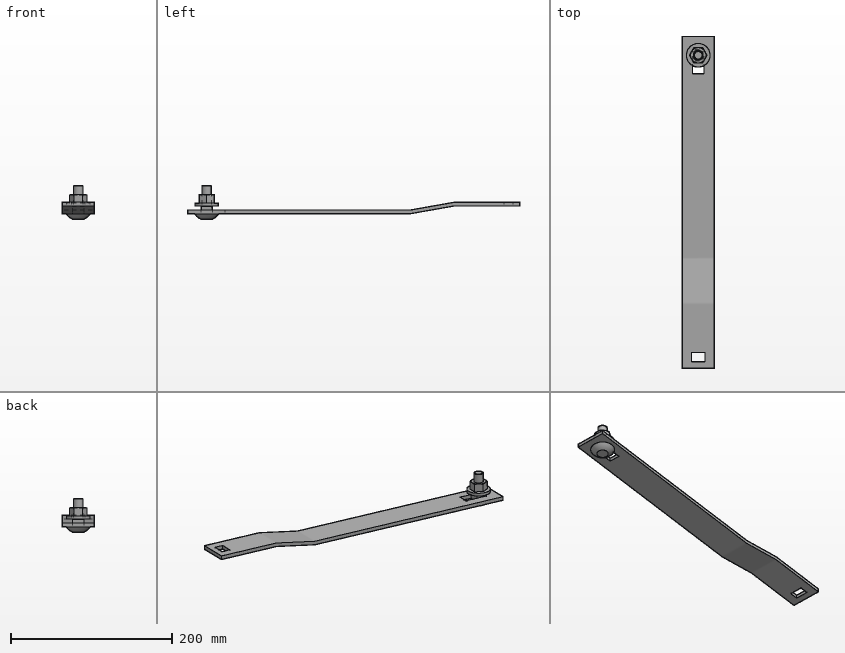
import cadquery as cq
import math

strap_length = 411.7
strap_width = 40.0
strap_thickness = 5.0
crank_rise = 10.0
crank_start = 275.5
crank_end = 331.5
bend_inner_radius = 10.0
bend_outer_radius = bend_inner_radius + strap_thickness

bolt_inset = 23.5
head_diameter = 29.5
head_flat_diameter = 14.0
head_height = 6.5
neck_width = 14.0
neck_top = 9.0
shank_diameter = 12.0
tip_chamfer_height = 0.5
tip_chamfer_width = 1.2
overall_height = 42.0
shank_top = overall_height - head_height

slot_far_edge = 46.0
slot_near_edge = bolt_inset - neck_width / 2
end_hole_width = 16.5
end_hole_length = 11.0
end_hole_inset = 14.0

washer_diameter = 29.2
washer_bottom = 10.0
washer_thickness = 3.5
nut_across_flats = 19.0
nut_height = 10.3
nut_chamfer_height = 0.6
nut_bottom = washer_bottom + washer_thickness

bolt_end_y = strap_length / 2
bolt_y = bolt_end_y - bolt_inset


def rectangular_cutter(width, length, centre_y):
    """Block for a rectangular opening right through the strap."""
    return cq.Workplane("XY").box(
        width, length, strap_thickness + crank_rise, centered=(True, True, False)
    ).translate((0, centre_y, 0))


def make_strap():
    """Bent flat bar with a slot for the bolt neck and a hole at the raised end."""
    crank_angle = math.atan2(crank_rise, crank_end - crank_start)
    bisector_shift = strap_thickness * math.tan(crank_angle / 2)
    upper_start_y = bolt_end_y - crank_start
    upper_end_y = bolt_end_y - crank_end
    raised_top = strap_thickness + crank_rise
    outline = [
        (bolt_end_y, 0),
        (bolt_end_y, strap_thickness),
        (upper_start_y, strap_thickness),
        (upper_end_y, raised_top),
        (-bolt_end_y, raised_top),
        (-bolt_end_y, crank_rise),
        (upper_end_y + bisector_shift, crank_rise),
        (upper_start_y + bisector_shift, 0),
    ]
    strap = cq.Workplane("YZ").polyline(outline).close().extrude(strap_width / 2, both=True)

    bends = [
        (outline[2], bend_inner_radius),
        (outline[3], bend_outer_radius),
        (outline[6], bend_inner_radius),
        (outline[7], bend_outer_radius),
    ]
    for (y, z), radius in bends:
        bend_edge = cq.selectors.NearestToPointSelector((0, y, z))
        strap = strap.edges("|X").edges(bend_edge).fillet(radius)

    slot_length = slot_far_edge - slot_near_edge
    slot_y = bolt_end_y - (slot_near_edge + slot_far_edge) / 2
    strap = strap.cut(rectangular_cutter(neck_width, slot_length, slot_y))
    end_hole_y = -bolt_end_y + end_hole_inset
    return strap.cut(rectangular_cutter(end_hole_width, end_hole_length, end_hole_y))


def make_bolt():
    """Carriage bolt: flat-bottomed domed head, square neck and round shank."""
    rim_radius = head_diameter / 2
    flat_radius = head_flat_diameter / 2
    centre_z = (rim_radius**2 - flat_radius**2 - head_height**2) / (2 * head_height)
    dome_radius = math.hypot(rim_radius, centre_z)
    middle_radius = (rim_radius + flat_radius) / 2
    middle_z = centre_z - math.sqrt(dome_radius**2 - middle_radius**2)
    head = (
        cq.Workplane("XZ")
        .lineTo(rim_radius, 0)
        .threePointArc((middle_radius, middle_z), (flat_radius, -head_height))
        .lineTo(0, -head_height)
        .close()
        .revolve(360, (0, 0), (0, 1))
    )
    neck = cq.Workplane("XY").rect(neck_width, neck_width).extrude(neck_top)
    shank = cq.Workplane("XY").circle(shank_diameter / 2).extrude(shank_top)
    shank = shank.faces(">Z").chamfer(tip_chamfer_height, tip_chamfer_width)
    return head.union(neck).union(shank).translate((0, bolt_y, 0))


def make_washer():
    """Plain round washer fitting the shank."""
    return (
        cq.Workplane("XY")
        .circle(washer_diameter / 2)
        .circle(shank_diameter / 2)
        .extrude(washer_thickness)
        .translate((0, bolt_y, washer_bottom))
    )


def make_nut():
    """Hexagon nut with two corners along X and its top corners chamfered to a circle."""
    corner_radius = nut_across_flats / math.sqrt(3)
    hexagon = (
        cq.Workplane("XY")
        .transformed(rotate=(0, 0, 30))
        .polygon(6, nut_across_flats, circumscribed=True)
        .circle(shank_diameter / 2)
        .extrude(nut_height)
    )
    chamfered_blank = (
        cq.Workplane("XY")
        .circle(corner_radius)
        .extrude(nut_height)
        .faces(">Z")
        .chamfer(nut_chamfer_height, corner_radius - nut_across_flats / 2)
    )
    return hexagon.intersect(chamfered_blank).translate((0, bolt_y, nut_bottom))


strap = make_strap()
bolt = make_bolt()
washer = make_washer()
nut = make_nut()

result = cq.Compound.makeCompound([strap.val(), bolt.val(), washer.val(), nut.val()])